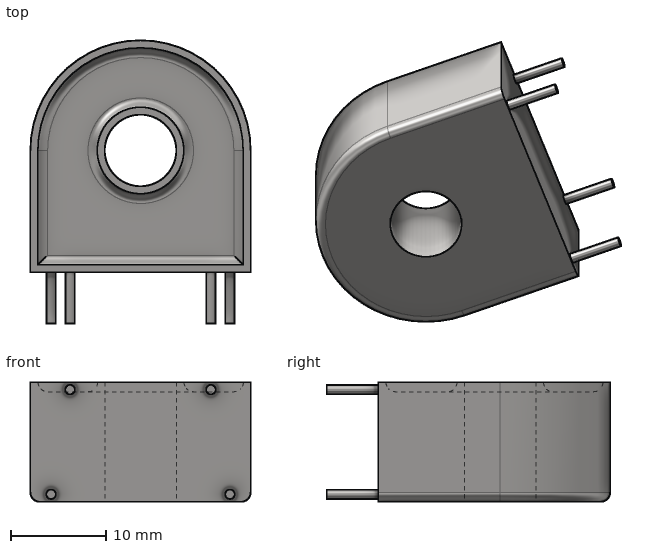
import cadquery as cq

width = 23.18
back_radius = width / 2
length = 24.4
front_y = back_radius - length
height = 12.6
bottom_edge_radius = 1.0

rim_thickness = 0.8
recess_depth = 1.0
recess_fillet_radius = recess_depth
floor_z = height - recess_depth
hole_radius = 7.5 / 2
collar_radius = hole_radius + rim_thickness

pin_diameter = 1.0
pin_length = 5.4
pin_edge_distance = 0.8
upper_pin_spacing = 14.8
lower_pin_spacing = 18.8


def d_outline(inset, base_z):
    """D-shaped outline, moved inward by `inset`, on a plane at height `base_z`."""
    radius = back_radius - inset
    flat_y = front_y + inset
    return (
        cq.Workplane("XY", origin=(0, 0, base_z))
        .moveTo(-radius, flat_y)
        .lineTo(radius, flat_y)
        .lineTo(radius, 0)
        .threePointArc((0, radius), (-radius, 0))
        .close()
    )


def make_block():
    """Plain block whose bottom edge is rounded except along the flat front."""
    block = d_outline(0, 0).extrude(height)
    return block.edges("<Z").edges("not(<Y)").fillet(bottom_edge_radius)


def make_recess():
    """Cutter for the top recess, with a rounded floor edge; it reaches above the rim."""
    recess = d_outline(rim_thickness, floor_z).extrude(2 * recess_depth)
    return recess.faces("<Z").edges().fillet(recess_fillet_radius)


def make_collar():
    """Ring as high as the rim, with a concave fillet down to the recess floor."""
    foot_radius = collar_radius + recess_fillet_radius
    return (
        cq.Workplane("XZ")
        .moveTo(hole_radius, floor_z)
        .lineTo(foot_radius, floor_z)
        .radiusArc((collar_radius, height), recess_fillet_radius)
        .lineTo(hole_radius, height)
        .close()
        .revolve(360, (0, 0, 0), (0, 1, 0))
    )


def make_housing():
    through_hole = cq.Workplane("XY").circle(hole_radius).extrude(height)
    return make_block().cut(make_recess()).union(make_collar()).cut(through_hole)


def make_pin(x, z):
    """Round pin that starts on the front face and points toward -Y."""
    return cq.Workplane("XZ", origin=(x, front_y, z)).circle(pin_diameter / 2).extrude(pin_length)


housing = make_housing()

pin_rows = [
    (upper_pin_spacing, height - pin_edge_distance),
    (lower_pin_spacing, pin_edge_distance),
]
pins = [make_pin(side * spacing / 2, z) for spacing, z in pin_rows for side in (-1, 1)]

result = cq.Compound.makeCompound([housing.val(), *[pin.val() for pin in pins]])